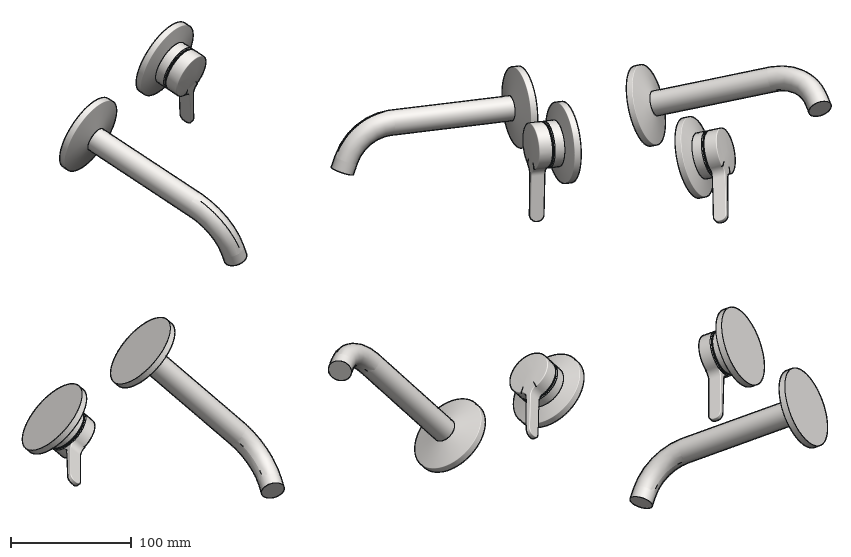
import cadquery as cq
import math

control_y = 100.0

rose_radius = 34.0
rose_rim_depth = 5.8
rose_edge_fillet = 0.5
rose_cone_slope = 0.225

pipe_radius = 10.5
outlet_radius = 9.8
bend_start_x = 117.3
bend_radius = 42.0
bend_angle = 70.0
outlet_length = 9.8

control_radius = 19.5
control_bevel = 0.8
spacer_radius = 18.2
collar_end_x = 18.4
handle_start_x = 19.2
handle_rim_x = 31.4
handle_crown_x = 32.2
handle_front_fillet = 0.7

lever_tip_z = -65.56
lever_root_inner_x = 19.6
lever_root_outer_x = 31.6
lever_lean = 1.0
lever_corner_radius = 5.5
lever_root_half_thickness = 2.6
lever_tip_half_thickness = 2.0
lever_blend_radius = 8.0
lever_edge_fillet = 0.6


def revolve_about_x(outline, y=0.0):
    """Turn a closed (X, radius) outline into a solid around a line parallel to X."""
    return outline.close().revolve(360, (0, 0, 0), (1, 0, 0)).translate((0, y, 0))


def rose_nose_x(neck_radius):
    """X of the flat nose that remains where the cone reaches the neck."""
    return rose_rim_depth + rose_cone_slope * (rose_radius - neck_radius)


def make_rose(neck_radius, y):
    nose_x = rose_nose_x(neck_radius)
    outline = (
        cq.Workplane("XY")
        .lineTo(0, rose_radius)
        .lineTo(rose_rim_depth, rose_radius)
        .lineTo(nose_x, neck_radius)
        .lineTo(nose_x, 0)
    )
    rose = revolve_about_x(outline)
    rim_edge = cq.selectors.BoxSelector(
        (rose_rim_depth - rose_edge_fillet / 2, -rose_radius, -rose_radius),
        (rose_rim_depth + rose_edge_fillet / 2, rose_radius, rose_radius),
    )
    return rose.edges(rim_edge).fillet(rose_edge_fillet).translate((0, y, 0))


def make_spout():
    """Straight pipe, a bend that tapers down to the outlet, and a straight outlet."""
    nose_x = rose_nose_x(pipe_radius)
    pipe = cq.Workplane("YZ", origin=(nose_x, 0, 0)).circle(pipe_radius).extrude(bend_start_x - nose_x)

    turn = math.radians(bend_angle)

    def bend_point(angle):
        return (bend_start_x + bend_radius * math.sin(angle), -bend_radius * (1 - math.cos(angle)))

    bend_end = bend_point(turn)
    outlet_plane = cq.Plane(
        origin=(bend_end[0], 0, bend_end[1]),
        xDir=(0, 1, 0),
        normal=(math.cos(turn), 0, -math.sin(turn)),
    )
    bend_path = cq.Workplane("XZ").moveTo(bend_start_x, 0).threePointArc(bend_point(turn / 2), bend_end)
    pipe_circle = cq.Wire.makeCircle(pipe_radius, cq.Vector(bend_start_x, 0, 0), cq.Vector(1, 0, 0))
    outlet_circle = cq.Wire.makeCircle(outlet_radius, outlet_plane.origin, outlet_plane.zDir)
    bend = cq.Solid.sweep_multi([pipe_circle, outlet_circle], bend_path.val())

    outlet = cq.Workplane(outlet_plane).circle(outlet_radius).extrude(outlet_length)
    return pipe.union(cq.Workplane(bend)).union(outlet)


def make_collar():
    outline = (
        cq.Workplane("XY")
        .moveTo(rose_nose_x(control_radius), 0)
        .lineTo(rose_nose_x(control_radius), control_radius)
        .lineTo(collar_end_x - control_bevel, control_radius)
        .lineTo(collar_end_x, control_radius - control_bevel)
        .lineTo(collar_end_x, 0)
    )
    return revolve_about_x(outline, control_y)


def make_spacer():
    spacer = cq.Workplane("YZ", origin=(collar_end_x, control_y, 0))
    return spacer.circle(spacer_radius).extrude(handle_start_x - collar_end_x)


def make_handle_knob():
    """Round knob with a bevelled back and a domed, rounded front, centred on the X axis."""
    crown_rise = handle_crown_x - handle_rim_x
    dome_radius = (control_radius**2 + crown_rise**2) / (2 * crown_rise)
    middle_radius = control_radius / 2
    middle_x = handle_crown_x - dome_radius + math.sqrt(dome_radius**2 - middle_radius**2)
    outline = (
        cq.Workplane("XY")
        .moveTo(handle_start_x, 0)
        .lineTo(handle_start_x, control_radius - control_bevel)
        .lineTo(handle_start_x + control_bevel, control_radius)
        .lineTo(handle_rim_x, control_radius)
        .threePointArc((middle_x, middle_radius), (handle_crown_x, 0))
    )
    rim_edge = cq.selectors.BoxSelector(
        (handle_rim_x - handle_front_fillet / 2, -control_radius, -control_radius),
        (handle_rim_x + handle_front_fillet / 2, control_radius, control_radius),
    )
    return revolve_about_x(outline).edges(rim_edge).fillet(handle_front_fillet)


def make_lever():
    """Leaning, round-cornered blade that thins to its tip and flares into the knob."""
    blade = (
        cq.Workplane("XZ")
        .moveTo(lever_root_inner_x, 0)
        .lineTo(lever_root_inner_x + lever_lean, lever_tip_z)
        .lineTo(lever_root_outer_x + lever_lean, lever_tip_z)
        .lineTo(lever_root_outer_x, 0)
        .close()
        .extrude(control_radius, both=True)
        .edges("|Y and <Z")
        .fillet(lever_corner_radius)
    )

    flare_y = lever_root_half_thickness + lever_blend_radius
    flare_reach = control_radius + lever_blend_radius
    flare_z = -math.sqrt(flare_reach**2 - flare_y**2)
    knob_y = flare_y * control_radius / flare_reach
    knob_z = flare_z * control_radius / flare_reach
    flare_turn = math.atan2(knob_z - flare_z, flare_y - knob_y) / 2
    middle_y = flare_y - lever_blend_radius * math.cos(flare_turn)
    middle_z = flare_z + lever_blend_radius * math.sin(flare_turn)
    thickness = (
        cq.Workplane("YZ")
        .moveTo(-knob_y, knob_z)
        .threePointArc((-middle_y, middle_z), (-lever_root_half_thickness, flare_z))
        .lineTo(-lever_tip_half_thickness, lever_tip_z)
        .lineTo(lever_tip_half_thickness, lever_tip_z)
        .lineTo(lever_root_half_thickness, flare_z)
        .threePointArc((middle_y, middle_z), (knob_y, knob_z))
        .lineTo(0, 0)
        .close()
        .extrude(2 * handle_crown_x)
    )
    lever = blade.intersect(thickness)
    blade_region = cq.selectors.BoxSelector(
        (0, -control_radius, lever_tip_z),
        (2 * handle_crown_x, control_radius, flare_z),
    )
    long_edges = lever.faces("<X or >X").edges(blade_region).edges("not |Y")
    return long_edges.fillet(lever_edge_fillet)


def make_handle():
    return make_handle_knob().union(make_lever()).translate((0, control_y, 0))


spout_rose = make_rose(pipe_radius, 0)
spout = make_spout()
control_rose = make_rose(control_radius, control_y)
collar = make_collar()
spacer = make_spacer()
handle = make_handle()

result = cq.Compound.makeCompound([
    spout_rose.val(),
    spout.val(),
    control_rose.val(),
    collar.val(),
    spacer.val(),
    handle.val(),
])